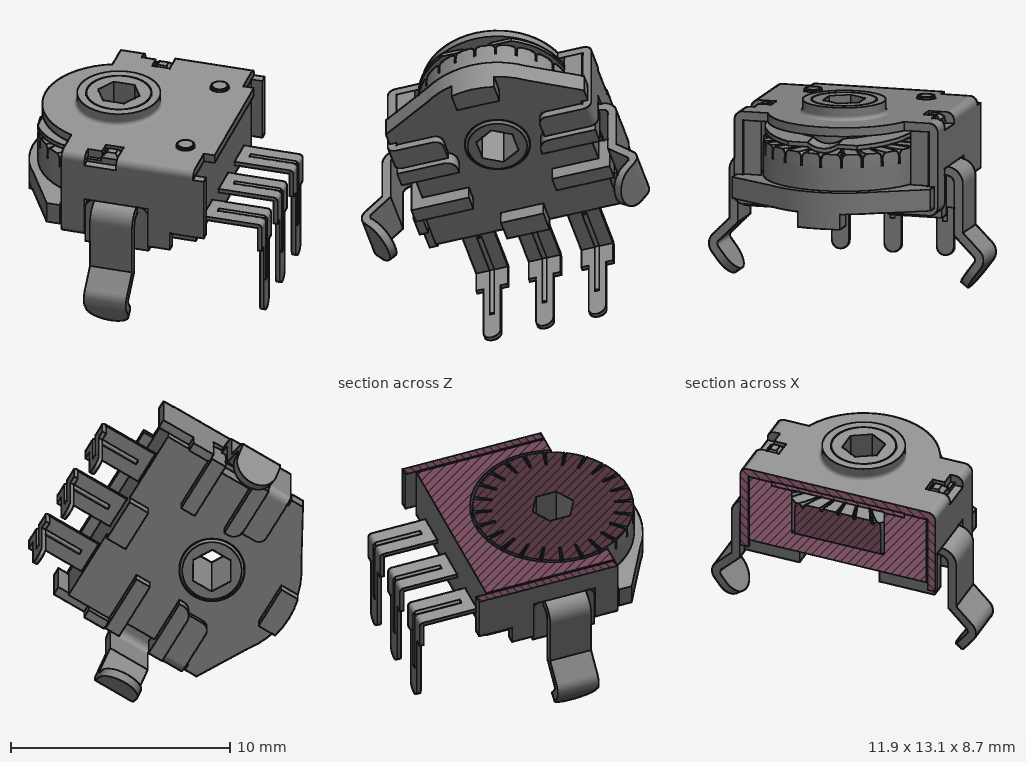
import cadquery as cq
import math


CLEARANCE = 0.03
OVERSHOOT = 0.65
OVERALL_WIDTH = 13.1
SHEET = 0.4
BEND_RADIUS = 0.39
TOP_Z = 3.51
LEG_END_Z = -5.19

COVER_TOP_Z = 2.92
COVER_UNDER_Z = COVER_TOP_Z - SHEET
COVER_FRONT_X = -1.28
COVER_PLATE_BACK_X = 4.99
COVER_WALL_BACK_X = 5.5
COVER_HALF_WIDTH = 4.85
WALL_INNER_Y = COVER_HALF_WIDTH - SHEET
WALL_END_Z = -1.39
WALL_STEP_X = 3.89
WALL_STEP_Z = -0.51
COVER_NOSE_RADIUS = 3.5
TAB_HALF_WIDTH = 3.1
COLLAR_RADIUS = 1.9
COLLAR_FILLET = 0.2
FLANGE_TIP_Y = 2.29
FLANGE_CORNER_RADIUS = 0.39

WINDOW_X = (-0.18, 2.83)
WINDOW_TOP_Z = 0.6
SLOT_INNER_Y = 4.23
SLOT_FLOOR_Z = 2.4
STUD_X = (0.48, 1.32)
STUD_INNER_Y = 3.64

CLIP_X = (0.3, 2.3)
CLIP_LEG_Y = 5.37
CLIP_BEND_RADIUS = 0.59
CLIP_KNEE_RADIUS = 0.4
CLIP_KNEE_Z = -3.68
CLIP_RETURN = (-0.6, -0.8)

ROTOR_RADIUS = 7.4 / 2
TOOTH_ROOT_Z = 1.1
TOOTH_TOP_Z = 1.7
TOOTH_COUNT = 24
TOOTH_ROUND = 0.22
TOOTH_TAPER = 0.03
TOOTH_GAP = 0.08
TOOTH_GAP_DEPTH = 0.1
HUB_RADIUS = 4.15 / 2
SHAFT_RADIUS = 2.95 / 2
SHAFT_END_Z = -1.11
HEX_FLATS = 1.72

DECK_UNDER_Z = -1.0
FOOT_Z = -1.7
BASE_NOSE_RADIUS = 4.1
BASE_NOSE_HALF_WIDTH = 2.38
BASE_SHOULDER_X = (-2.02, -1.4)
BASE_SHOULDER_Y = 4.72
BASE_SIDE_Y = 4.4
BASE_BACK_X = COVER_PLATE_BACK_X
CAVITY_RADIUS = 3.79
STUD_BEVEL = 0.21
STUD_TOP_Z = 2.9
NOSE_FOOT_BACK_X = -3.09
CENTRE_FOOT_HALF_WIDTH = 1.01
SIDE_FOOT_INNER_Y = 1.98
SIDE_FOOT_CORNER_RADIUS = 0.52
REAR_FOOT_FRONT_X = 4.0
WINDOW_BLOCK_TOP_Z = 0.54
WINDOW_BLOCK_ROUND = 0.46
CLIP_SLOT_X = (0.54, 2.11)
CLIP_SLOT_Y = 4.19
PIN_X = 4.0
PIN_Y = 2.7
PIN_RADIUS = 0.8 / 2
PIN_TOP_Z = 3.04
PIN_BEVEL = 0.04

SPRING_SHEET = 0.2
SPRING_RADIUS = 3.54
SPRING_CENTRE_X = -0.25
SPRING_HOLE_RADIUS = 2.35
SPRING_FRONT_X = -3.38
SPRING_FRONT_Z = 2.14
SPRING_BEND_X = 0.62
SPRING_BACK_X = 4.72
SPRING_TAIL_HALF_WIDTH = 3.28
BUMP_DEPTH = 0.24
BUMP_HALF_WIDTH = 0.72

TERMINAL_PITCH = 2.5
TERMINAL_SHEET = 0.2
TERMINAL_TOP_Z = -0.31
TERMINAL_OUTER_X = 7.8
TERMINAL_EMBED = 0.65
TERMINAL_WIDTH = 1.5
TERMINAL_LEG_WIDTH = 0.81
TERMINAL_BEND = 0.2
RIB_RADIUS = 0.111
RIB_HEIGHT = 0.09
RIB_START_X = COVER_WALL_BACK_X
RIB_END_Z = -3.59


def box(x, y, z):
    """Box between the given (low, high) limits along each axis."""
    size = (x[1] - x[0], y[1] - y[0], z[1] - z[0])
    return cq.Workplane("XY").box(*size, centered=False).translate((x[0], y[0], z[0]))


def cylinder(radius, z, centre=(0, 0)):
    """Upright cylinder between the two heights in z."""
    return cq.Workplane("XY", origin=(*centre, z[0])).circle(radius).extrude(z[1] - z[0])


def both_sides(shape):
    """The shape together with its mirror image across the XZ plane."""
    return shape.union(shape.mirror("XZ"))


def tooth_gap():
    """Cutter for one tooth gap, lying along +X and rising towards the hub."""
    half_gap = TOOTH_GAP / 2
    mouth = half_gap + TOOTH_ROUND
    round_mid = TOOTH_ROUND * (1 - math.sqrt(0.5))
    slope = math.degrees(math.atan2(TOOTH_ROUND, ROTOR_RADIUS - HUB_RADIUS))
    length = ROTOR_RADIUS - HUB_RADIUS + OVERSHOOT
    flare = (
        cq.Workplane("YZ", origin=(HUB_RADIUS, 0, 0))
        .moveTo(-half_gap, 0)
        .threePointArc((-half_gap - round_mid, TOOTH_ROUND - round_mid), (-mouth, TOOTH_ROUND))
        .lineTo(-mouth, 2 * TOOTH_ROUND)
        .lineTo(mouth, 2 * TOOTH_ROUND)
        .lineTo(mouth, TOOTH_ROUND)
        .threePointArc((half_gap + round_mid, TOOTH_ROUND - round_mid), (half_gap, 0))
        .close()
        .extrude(length)
        .rotate((HUB_RADIUS, 0, 0), (HUB_RADIUS, 1, 0), slope)
        .translate((0, 0, TOOTH_TOP_Z))
    )
    slit = box(
        (ROTOR_RADIUS - TOOTH_GAP_DEPTH, ROTOR_RADIUS + OVERSHOOT),
        (-half_gap, half_gap),
        (TOOTH_ROOT_Z, TOOTH_TOP_Z - TOOTH_ROUND / 2),
    )
    return flare.union(slit)


def make_rotor():
    rotor = (
        cq.Workplane("XZ")
        .polyline([
            (0, 0),
            (ROTOR_RADIUS, 0),
            (ROTOR_RADIUS, TOOTH_ROOT_Z),
            (ROTOR_RADIUS - TOOTH_TAPER, TOOTH_TOP_Z),
            (0, TOOTH_TOP_Z),
        ])
        .close()
        .revolve(360, (0, 0, 0), (0, 1, 0))
    )
    gap = tooth_gap()
    for i in range(TOOTH_COUNT):
        rotor = rotor.cut(gap.rotate((0, 0, 0), (0, 0, 1), i * 360 / TOOTH_COUNT))
    shaft = cylinder(SHAFT_RADIUS, (SHAFT_END_Z, TOP_Z))
    shaft = shaft.faces("<Z").chamfer(DECK_UNDER_Z - SHAFT_END_Z)
    rotor = rotor.union(cylinder(HUB_RADIUS, (0, COVER_UNDER_Z))).union(shaft)
    hexagon = (
        cq.Workplane("XY", origin=(0, 0, SHAFT_END_Z))
        .polygon(6, HEX_FLATS / math.cos(math.pi / 6))
        .extrude(TOP_Z - SHAFT_END_Z)
    )
    return rotor.cut(hexagon)


def spring_bump(shift):
    """Round bar along the sloping sheet, reaching BUMP_DEPTH below the sheet's top face plus shift."""
    radius = (BUMP_HALF_WIDTH**2 + BUMP_DEPTH**2) / (2 * BUMP_DEPTH)
    slope = math.degrees(math.atan2(COVER_UNDER_Z - SPRING_FRONT_Z, SPRING_BEND_X - SPRING_FRONT_X))
    return (
        cq.Workplane("YZ", origin=(SPRING_FRONT_X - OVERSHOOT, 0, 0))
        .center(0, SPRING_FRONT_Z + shift - BUMP_DEPTH + radius)
        .circle(radius)
        .extrude(SPRING_RADIUS - SPRING_HOLE_RADIUS + OVERSHOOT)
        .rotate((SPRING_FRONT_X, 0, SPRING_FRONT_Z), (SPRING_FRONT_X, 1, SPRING_FRONT_Z), -slope)
    )


def make_spring():
    """Flat tail under the cover, with a ring that slopes down to a bump between two teeth."""
    side = (
        cq.Workplane("XZ")
        .polyline([
            (SPRING_FRONT_X, SPRING_FRONT_Z),
            (SPRING_BEND_X, COVER_UNDER_Z),
            (SPRING_BACK_X, COVER_UNDER_Z),
            (SPRING_BACK_X, COVER_UNDER_Z - SPRING_SHEET),
            (SPRING_BEND_X, COVER_UNDER_Z - SPRING_SHEET),
            (SPRING_FRONT_X, SPRING_FRONT_Z - SPRING_SHEET),
        ])
        .close()
        .extrude(SPRING_RADIUS, both=True)
    )
    height = (0, COVER_UNDER_Z)
    plan = cylinder(SPRING_RADIUS, height, (SPRING_CENTRE_X, 0)).union(
        box((0, SPRING_BACK_X), (-SPRING_TAIL_HALF_WIDTH, SPRING_TAIL_HALF_WIDTH), height)
    )
    plan = plan.cut(cylinder(SPRING_HOLE_RADIUS, height, (SPRING_CENTRE_X, 0)))
    for y in (-PIN_Y, PIN_Y):
        plan = plan.cut(cylinder(PIN_RADIUS + CLEARANCE, height, (PIN_X, y)))
    under_top_face = (
        cq.Workplane("XZ")
        .polyline([
            (SPRING_FRONT_X, SPRING_FRONT_Z),
            (SPRING_BEND_X, COVER_UNDER_Z),
            (SPRING_BEND_X, 0),
            (SPRING_FRONT_X, 0),
        ])
        .close()
        .extrude(SPRING_RADIUS, both=True)
    )
    pressed = spring_bump(-SPRING_SHEET).intersect(under_top_face)
    return side.union(pressed).cut(spring_bump(0)).intersect(plan)


def rib_bar(x, z):
    """L-shaped round bar with its corner at x, z, the core of a terminal's stiffening rib."""
    along = cq.Workplane("YZ", origin=(RIB_START_X, 0, z)).circle(RIB_RADIUS).extrude(x - RIB_START_X)
    return along.union(cylinder(RIB_RADIUS, (RIB_END_Z, z), (x, 0)))


def make_terminal(y):
    inner_x = TERMINAL_OUTER_X - TERMINAL_SHEET
    inner_z = TERMINAL_TOP_Z - TERMINAL_SHEET
    bent = (
        cq.Workplane("XZ")
        .polyline([
            (BASE_BACK_X - TERMINAL_EMBED, TERMINAL_TOP_Z),
            (TERMINAL_OUTER_X, TERMINAL_TOP_Z),
            (TERMINAL_OUTER_X, FOOT_Z),
            (inner_x, FOOT_Z),
            (inner_x, inner_z),
            (BASE_BACK_X - TERMINAL_EMBED, inner_z),
        ])
        .close()
        .extrude(TERMINAL_WIDTH / 2, both=True)
        .edges("|Y and >X and >Z")
        .fillet(TERMINAL_BEND)
    )
    half_leg = TERMINAL_LEG_WIDTH / 2
    leg = (
        cq.Workplane("YZ", origin=(inner_x, 0, 0))
        .moveTo(-half_leg, FOOT_Z)
        .lineTo(-half_leg, LEG_END_Z + half_leg)
        .threePointArc((0, LEG_END_Z), (half_leg, LEG_END_Z + half_leg))
        .lineTo(half_leg, FOOT_Z)
        .close()
        .extrude(TERMINAL_SHEET)
    )
    rib_inset = RIB_RADIUS - RIB_HEIGHT
    ridge = rib_bar(inner_x + rib_inset, inner_z + rib_inset)
    groove = rib_bar(TERMINAL_OUTER_X + rib_inset, TERMINAL_TOP_Z + rib_inset)
    return bent.union(leg).union(ridge).cut(groove).translate((0, y, 0))


def base_plate():
    shoulder_front, shoulder_back = BASE_SHOULDER_X
    nose_x = -math.sqrt(BASE_NOSE_RADIUS**2 - BASE_NOSE_HALF_WIDTH**2)
    outline = (
        cq.Workplane("XY", origin=(0, 0, FOOT_Z))
        .moveTo(nose_x, -BASE_NOSE_HALF_WIDTH)
        .threePointArc((-BASE_NOSE_RADIUS, 0), (nose_x, BASE_NOSE_HALF_WIDTH))
        .lineTo(shoulder_front, BASE_SHOULDER_Y)
        .lineTo(shoulder_back, BASE_SHOULDER_Y)
        .lineTo(shoulder_back, BASE_SIDE_Y)
        .lineTo(BASE_BACK_X, BASE_SIDE_Y)
        .lineTo(BASE_BACK_X, -BASE_SIDE_Y)
        .lineTo(shoulder_back, -BASE_SIDE_Y)
        .lineTo(shoulder_back, -BASE_SHOULDER_Y)
        .lineTo(shoulder_front, -BASE_SHOULDER_Y)
        .close()
        .extrude(-FOOT_Z)
    )
    reach = OVERALL_WIDTH
    height = (FOOT_Z, DECK_UNDER_Z)
    foot_width = (-CENTRE_FOOT_HALF_WIDTH, CENTRE_FOOT_HALF_WIDTH)
    removed = box((-reach, reach), (-reach, reach), height)
    removed = removed.cut(box((-reach, NOSE_FOOT_BACK_X), foot_width, height))
    removed = removed.cut(box((REAR_FOOT_FRONT_X, reach), foot_width, height))
    return outline.cut(removed)


def base_walls():
    """Walls around the rotor, from the deck up to the cover."""
    walls = box((COVER_FRONT_X, BASE_BACK_X), (-BASE_SIDE_Y, BASE_SIDE_Y), (0, COVER_UNDER_Z))
    return walls.cut(cylinder(CAVITY_RADIUS, (0, COVER_UNDER_Z)))


def base_side_details():
    """Stud, split foot and window block of the +Y side."""
    stud = box(STUD_X, (STUD_INNER_Y, BASE_SIDE_Y), (COVER_UNDER_Z, STUD_TOP_Z))
    stud = stud.faces(">Z").chamfer(STUD_BEVEL)

    side_foot = box(WINDOW_X, (SIDE_FOOT_INNER_Y, BASE_SHOULDER_Y), (FOOT_Z, DECK_UNDER_Z))
    side_foot = side_foot.edges("|Z and <Y and <X").fillet(SIDE_FOOT_CORNER_RADIUS)
    side_foot = side_foot.cut(box(CLIP_SLOT_X, (0, COVER_HALF_WIDTH), (FOOT_Z, DECK_UNDER_Z)))

    block = box(WINDOW_X, (CLIP_SLOT_Y, BASE_SHOULDER_Y), (DECK_UNDER_Z, WINDOW_BLOCK_TOP_Z))
    block = block.edges("|Y and >Z").fillet(WINDOW_BLOCK_ROUND)
    return stud.union(side_foot).union(block)


def clip_clearance():
    """Room in the base for the root of the +Y clip and for the clip to spring inwards."""
    root_z = WINDOW_TOP_Z - SHEET
    slot = box(CLIP_SLOT_X, (CLIP_SLOT_Y, COVER_HALF_WIDTH), (FOOT_Z, root_z))
    root = box(CLIP_X, (BASE_SIDE_Y, COVER_HALF_WIDTH), (root_z, WINDOW_TOP_Z))
    return slot.union(root)


def make_base(terminals):
    base = base_plate().union(base_walls()).union(both_sides(base_side_details()))
    base = base.cut(both_sides(clip_clearance()))
    base = base.cut(cylinder(SHAFT_RADIUS + CLEARANCE, (DECK_UNDER_Z, 0)))
    base = base.cut(
        box(
            (0, SPRING_BACK_X),
            (-SPRING_TAIL_HALF_WIDTH, SPRING_TAIL_HALF_WIDTH),
            (COVER_UNDER_Z - SPRING_SHEET, COVER_UNDER_Z),
        )
    )
    for y in (-PIN_Y, PIN_Y):
        pin = cylinder(PIN_RADIUS, (COVER_UNDER_Z - SPRING_SHEET, PIN_TOP_Z), (PIN_X, y))
        base = base.union(pin.faces(">Z").chamfer(PIN_BEVEL))
    for terminal in terminals:
        base = base.cut(terminal)
    return base


def cover_plate():
    """Top plate with a round nose, a back tab and a collar around the shaft."""
    height = (COVER_UNDER_Z, COVER_TOP_Z)
    plate = box((COVER_FRONT_X, COVER_PLATE_BACK_X), (-COVER_HALF_WIDTH, COVER_HALF_WIDTH), height)
    plate = plate.edges("|X and >Z").fillet(BEND_RADIUS)
    plate = plate.union(cylinder(COVER_NOSE_RADIUS, height))
    plate = plate.union(
        box((COVER_PLATE_BACK_X, COVER_WALL_BACK_X), (-TAB_HALF_WIDTH, TAB_HALF_WIDTH), height)
    )
    collar = (
        cq.Workplane("XZ")
        .moveTo(0, COVER_TOP_Z)
        .lineTo(COLLAR_RADIUS + COLLAR_FILLET, COVER_TOP_Z)
        .radiusArc((COLLAR_RADIUS, COVER_TOP_Z + COLLAR_FILLET), COLLAR_FILLET)
        .lineTo(COLLAR_RADIUS, TOP_Z)
        .lineTo(0, TOP_Z)
        .close()
        .revolve(360, (0, 0, 0), (0, 1, 0))
    )
    plate = plate.union(collar)
    plate = plate.cut(cylinder(SHAFT_RADIUS + CLEARANCE, (COVER_UNDER_Z, TOP_Z)))
    for y in (-PIN_Y, PIN_Y):
        plate = plate.cut(cylinder(PIN_RADIUS + CLEARANCE, height, (PIN_X, y)))
    return plate


def cover_wall():
    """Side wall of the +Y side, with its window and the flange folded under the base."""
    depth = (WALL_INNER_Y, COVER_HALF_WIDTH)
    wall = box((COVER_FRONT_X, WALL_STEP_X), depth, (WALL_END_Z, COVER_UNDER_Z))
    wall = wall.union(box((WALL_STEP_X, COVER_WALL_BACK_X), depth, (WALL_STEP_Z, COVER_UNDER_Z)))
    wall = wall.cut(box(WINDOW_X, depth, (WALL_END_Z, WINDOW_TOP_Z)))
    flange = box(
        (COVER_FRONT_X, WINDOW_X[0]), (FLANGE_TIP_Y, COVER_HALF_WIDTH), (WALL_END_Z, DECK_UNDER_Z)
    )
    flange = flange.edges("|Z and <Y and <X").fillet(FLANGE_CORNER_RADIUS)
    wall = wall.union(flange)
    return wall.edges("|X and <Z and >Y").edges("<X").fillet(BEND_RADIUS)


def clip():
    """Mounting clip of the +Y side: out of the wall, down, out to a knee and back in."""
    half = SHEET / 2
    width = CLIP_X[1] - CLIP_X[0]
    root_z = WINDOW_TOP_Z - half
    diagonal = math.sqrt(0.5)
    return_y, return_z = CLIP_RETURN
    knee_y = OVERALL_WIDTH / 2 - half - CLIP_KNEE_RADIUS
    knee_in = (knee_y + CLIP_KNEE_RADIUS * diagonal, CLIP_KNEE_Z + CLIP_KNEE_RADIUS * diagonal)
    knee_out = (knee_y - CLIP_KNEE_RADIUS * return_z, CLIP_KNEE_Z + CLIP_KNEE_RADIUS * return_y)
    elbow_z = knee_in[0] + knee_in[1] - CLIP_LEG_Y
    run = (LEG_END_Z - half * return_y - knee_out[1]) / return_z
    tip = (knee_out[0] + run * return_y, knee_out[1] + run * return_z)
    bend_y = CLIP_LEG_Y - CLIP_BEND_RADIUS
    bend_z = root_z - CLIP_BEND_RADIUS
    path = (
        cq.Workplane("YZ", origin=(CLIP_X[0], 0, 0))
        .moveTo(WALL_INNER_Y, root_z)
        .lineTo(bend_y, root_z)
        .tangentArcPoint((CLIP_LEG_Y, bend_z), relative=False)
        .lineTo(CLIP_LEG_Y, elbow_z)
        .lineTo(*knee_in)
        .threePointArc((knee_y + CLIP_KNEE_RADIUS, CLIP_KNEE_Z), knee_out)
        .lineTo(*tip)
    )
    section = (
        cq.Workplane("XZ", origin=(CLIP_X[0], WALL_INNER_Y, root_z))
        .center(width / 2, 0)
        .rect(width, SHEET)
    )
    strip = section.sweep(path, transition="right")

    tip_plane = cq.Plane(
        origin=((CLIP_X[0] + CLIP_X[1]) / 2, *tip), xDir=(1, 0, 0), normal=(0, return_z, -return_y)
    )
    round_off = (
        cq.Workplane(tip_plane)
        .rect(2 * width, width)
        .extrude(SHEET, both=True)
        .cut(cq.Workplane(tip_plane).center(0, width / 2).circle(width / 2).extrude(SHEET, both=True))
    )
    return strip.cut(round_off)


def stud_opening():
    """Slot across the +Y bend, widened into a square hole for the stud."""
    height = (SLOT_FLOOR_Z, COVER_TOP_Z)
    slot = box((WINDOW_X[0], STUD_X[1]), (SLOT_INNER_Y, COVER_HALF_WIDTH), height)
    return slot.union(box(STUD_X, (STUD_INNER_Y, COVER_HALF_WIDTH), height))


def make_cover():
    side = cover_wall().union(clip())
    return cover_plate().union(both_sides(side)).cut(both_sides(stud_opening()))


terminals = [make_terminal(i * TERMINAL_PITCH) for i in (-1, 0, 1)]
base = make_base(terminals)
cover = make_cover()
rotor = make_rotor()
spring = make_spring()

result = cq.Compound.makeCompound(
    [base.val(), cover.val(), rotor.val(), spring.val(), *[terminal.val() for terminal in terminals]]
)